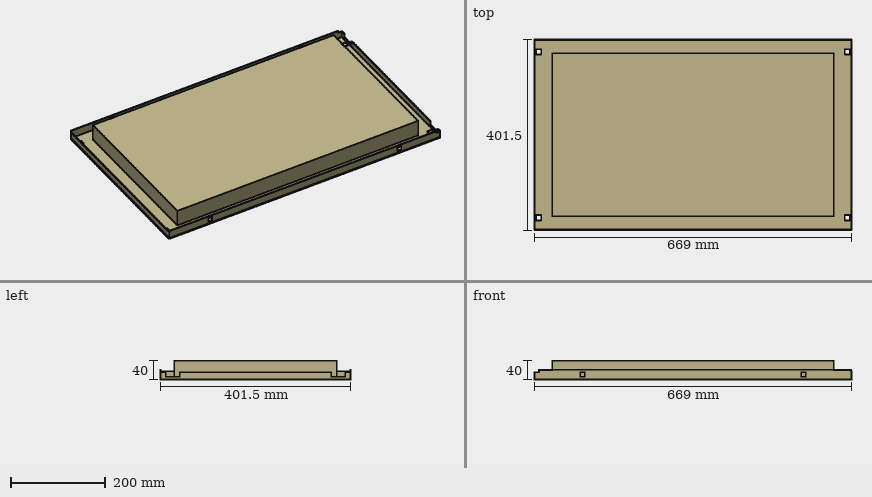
import cadquery as cq

length = 669.0
width = 401.5
sheet = 1.5
corner_radius = 2.0
half_length = length / 2
half_width = width / 2

long_wall_height = 21.0
right_wall_height = 18.0
left_wall_height = 16.0

panel_length = 593.0
panel_width = 342.5
panel_top = 40.0

lowered_end_length = 10.0

floor_hole_size = 11.0
floor_hole_edge_gap = 4.0
hole_row_inset = 26.0
hole_row_offset = half_width - hole_row_inset
notch_width = 29.5
notch_bottom = 7.0

window_size = 9.5
window_bottom = 7.0
window_spacing = 465.5


def block(x_limits, y_limits, z_limits):
    """Box given by its lower and upper limit along each axis."""
    lower, upper = zip(x_limits, y_limits, z_limits)
    sizes = [high - low for low, high in zip(lower, upper)]
    return cq.Workplane("XY").box(*sizes, centered=False).translate(lower)


def span(center, size):
    """Lower and upper limit of a stretch about its center."""
    return center - size / 2, center + size / 2


def make_tray():
    """Open sheet tray with rounded corners and walls of three heights."""
    tray = block(span(0, length), span(0, width), (0, long_wall_height))
    tray = tray.edges("|Z").fillet(corner_radius)
    cavity = block(
        span(0, length - 2 * sheet),
        span(0, width - 2 * sheet),
        (sheet, long_wall_height),
    )
    left_cut = block(
        (-half_length, -half_length + lowered_end_length),
        span(0, width),
        (left_wall_height, long_wall_height),
    )
    right_cut = block(
        (half_length - sheet, half_length),
        span(0, width),
        (right_wall_height, long_wall_height),
    )
    return tray.cut(cavity).cut(left_cut).cut(right_cut)


def make_panel():
    """Solid raised panel, merged with the tray floor."""
    return block(span(0, panel_length), span(0, panel_width), (0, panel_top))


def cut_floor_holes(body):
    """Cut one square hole through the floor near each corner."""
    hole_x = half_length - floor_hole_edge_gap - floor_hole_size / 2
    for x in (-hole_x, hole_x):
        for y in (-hole_row_offset, hole_row_offset):
            hole = block(span(x, floor_hole_size), span(y, floor_hole_size), (0, sheet))
            body = body.cut(hole)
    return body


def cut_left_notches(body):
    """Cut two open notches in the left wall, in line with the floor holes."""
    for y in (-hole_row_offset, hole_row_offset):
        notch = block(
            (-half_length, -half_length + sheet),
            span(y, notch_width),
            (notch_bottom, left_wall_height),
        )
        body = body.cut(notch)
    return body


def cut_windows(body):
    """Cut two square windows in each long wall."""
    wall_center = half_width - sheet / 2
    for x in (-window_spacing / 2, window_spacing / 2):
        for y in (-wall_center, wall_center):
            window = block(
                span(x, window_size),
                span(y, sheet),
                (window_bottom, window_bottom + window_size),
            )
            body = body.cut(window)
    return body


result = make_tray().union(make_panel())
result = cut_floor_holes(result)
result = cut_left_notches(result)
result = cut_windows(result)